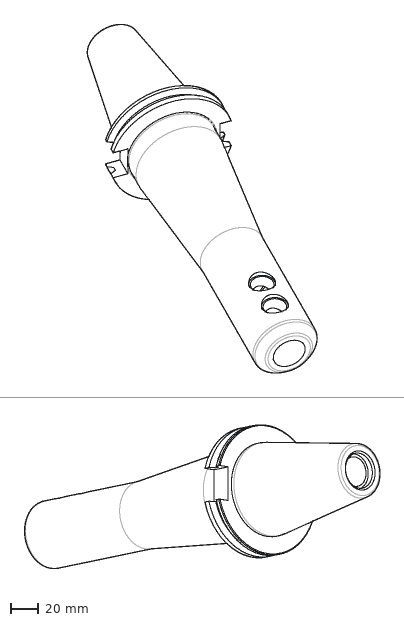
import cadquery as cq

length = 355.5
gauge_x = 101.7
flange_start = 104.5
flange_end = 120.5
collar_end = 136.2
shank_start = 241.0

gauge_dia = 70.0
collar_dia = 69.7
flange_dia = 97.0
shank_dia = 51.0
taper_ratio = 7 / 24
small_end_dia = gauge_dia - taper_ratio * gauge_x

small_end_fillet = 1.8
flange_chamfer = 0.7
flange_root_fillet = 0.9
nose_chamfer = 7.5
nose_fillet = 3.0

groove_x = 112.0
groove_depth = 4.3
groove_mouth = 8.2
groove_floor = 3.2

slot_width = 25.2
front_slot_floor = 35.2
back_slot_floor = 38.0

through_dia = 22.0
drawbar_dia = 26.3
drawbar_depth = 6.0
drawbar_chamfer = 1.5
tool_dia = 25.2
tool_depth = 78.2

screw_positions = (301.2, 326.8)
screw_dia = 17.5
screw_mouth_dia = 20.0
screw_mouth_depth = 3.5


def bore(dia, start, depth):
    """Cylinder on the X axis, running from start towards +X."""
    return cq.Workplane("YZ").workplane(offset=start).circle(dia / 2).extrude(depth)


def circle_at(x, radius):
    """Selector for the one circular edge of this radius around the X axis at x."""
    slack = 0.05
    half = radius + slack
    return cq.selectors.BoxSelector((x - slack, -half, -half), (x + slack, half, half), boundingbox=True)


def body():
    """Revolved taper, flange and shank, with its rounded edges."""
    profile = [
        (0, 0),
        (0, small_end_dia / 2),
        (gauge_x, gauge_dia / 2),
        (flange_start, gauge_dia / 2),
        (flange_start, flange_dia / 2 - flange_chamfer),
        (flange_start + flange_chamfer, flange_dia / 2),
        (groove_x - groove_mouth / 2, flange_dia / 2),
        (groove_x - groove_floor / 2, flange_dia / 2 - groove_depth),
        (groove_x + groove_floor / 2, flange_dia / 2 - groove_depth),
        (groove_x + groove_mouth / 2, flange_dia / 2),
        (flange_end, flange_dia / 2),
        (flange_end, collar_dia / 2),
        (collar_end, collar_dia / 2),
        (shank_start, shank_dia / 2),
        (length - nose_chamfer, shank_dia / 2),
        (length, shank_dia / 2 - nose_chamfer),
        (length, 0),
    ]
    solid = cq.Workplane("XY").polyline(profile).close().revolve(360, (0, 0, 0), (1, 0, 0))
    rounded_edges = (
        (0, small_end_dia / 2, small_end_fillet),
        (length - nose_chamfer, shank_dia / 2, nose_fillet),
        (length, shank_dia / 2 - nose_chamfer, nose_fillet),
        (flange_end, collar_dia / 2, flange_root_fillet),
    )
    for x, radius, fillet in rounded_edges:
        solid = solid.edges(circle_at(x, radius)).fillet(fillet)
    return solid


def drive_slot(side, floor):
    """Square slot open outwards in the flange; side is +1 for +Y and -1 for -Y."""
    width_x = flange_end - flange_start
    return cq.Workplane("XY").box(width_x, flange_dia, slot_width).translate(
        ((flange_start + flange_end) / 2, side * (floor + flange_dia / 2), 0)
    )


def screw_hole(x):
    """Radial hole from the top of the shank into the tool bore, with a wider mouth."""
    top = shank_dia / 2
    hole = cq.Workplane("XY").center(x, 0).circle(screw_dia / 2).extrude(top)
    mouth = (
        cq.Workplane("XY").workplane(offset=top - screw_mouth_depth).center(x, 0)
        .circle(screw_mouth_dia / 2).extrude(screw_mouth_depth)
    )
    return hole.union(mouth)


result = body()
result = result.cut(drive_slot(-1, front_slot_floor)).cut(drive_slot(1, back_slot_floor))

result = result.cut(bore(through_dia, 0, length))
result = result.cut(bore(drawbar_dia, 0, drawbar_depth))
result = result.cut(bore(tool_dia, length - tool_depth, tool_depth))
result = result.edges(circle_at(0, drawbar_dia / 2)).chamfer(drawbar_chamfer)

for position in screw_positions:
    result = result.cut(screw_hole(position))